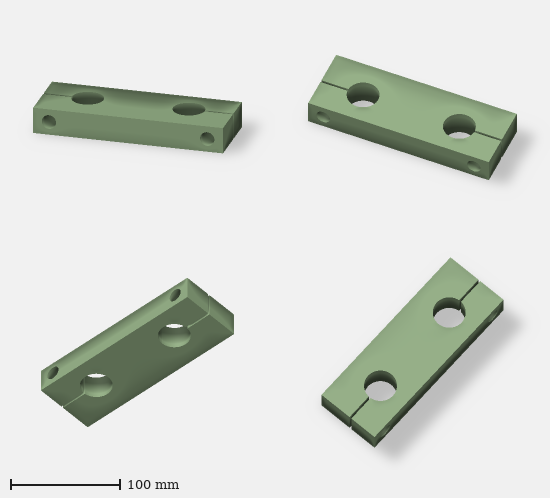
import cadquery as cq

length = 180.0
width = 64.0
height = 25.0

bore_diameter = 30.0
bore_spacing = 96.0
bore_from_front = 35.0
slit_width = 2.2

screw_diameter = 13.5
screw_from_end = 15.0

bore_y = bore_from_front - width / 2
bore_x = bore_spacing / 2
screw_x = length / 2 - screw_from_end
slit_length = length / 2 - bore_x


def make_block():
    return cq.Workplane("XY").box(length, width, height)


def make_rod_bore(side):
    """Bore and end slit on one side: -1 for the -X end, 1 for the +X end."""
    bore = (
        cq.Workplane("XY")
        .center(side * bore_x, bore_y)
        .circle(bore_diameter / 2)
        .extrude(height / 2, both=True)
    )
    slit = (
        cq.Workplane("XY")
        .box(slit_length, slit_width, height)
        .translate((side * (bore_x + slit_length / 2), bore_y, 0))
    )
    return bore.union(slit)


def make_screw_hole(side):
    """Through hole along Y at mid height."""
    return (
        cq.Workplane("XZ")
        .center(side * screw_x, 0)
        .circle(screw_diameter / 2)
        .extrude(width / 2, both=True)
    )


result = make_block()
for end in (-1, 1):
    result = result.cut(make_rod_bore(end))
    result = result.cut(make_screw_hole(end))